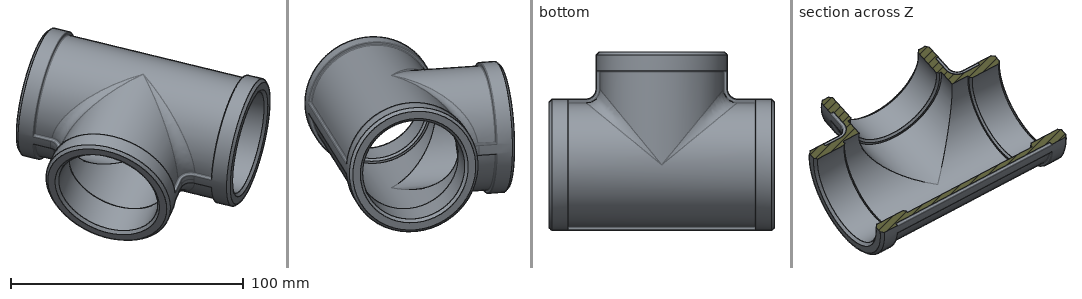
import cadquery as cq

run_length = 97.0
half_run = run_length / 2
branch_reach = 48.5

rim_radius = 28.2
rim_width = 8.2
rim_chamfer = 1.3
body_step = 1.5
body_radius = rim_radius - body_step
body_fillet = 5.8
rib_fillet = body_fillet - body_step
rib_width = 4.85
step_fillet = 0.3

neck_radius = 44.8 / 2
cavity_radius = 48.7 / 2
neck_depth = 16.0
neck_chamfer = 1.0
mouth_chamfer = 1.3

END_FACES = "<X or >X or <Y"


def straight_tee(radius, end_inset=0.0):
    """Two crossing cylinders of one radius, stopping short of the tee's ends."""
    run = cq.Workplane("YZ").circle(radius).extrude(half_run - end_inset, both=True)
    branch = cq.Workplane("XZ").circle(radius).extrude(branch_reach - end_inset)
    return run.union(branch)


def filleted_tee(radius, fillet):
    """Crossing cylinders with a fillet along the seam between run and branch."""
    return straight_tee(radius).edges("%ELLIPSE").fillet(fillet)


def raised_zones():
    """Space taken by the rims at the three ends and by the ribs around the mid plane."""
    size = 2 * run_length
    rim_centre = rim_width / 2
    rib_slab = cq.Workplane("XY").box(size, size, rib_width)
    run_rims = (
        cq.Workplane("XY")
        .pushPoints([(half_run - rim_centre, 0), (rim_centre - half_run, 0)])
        .box(rim_width, size, size)
    )
    branch_rim = (
        cq.Workplane("XY")
        .center(0, rim_centre - branch_reach)
        .box(2 * rim_radius, rim_width, size)
    )
    return rib_slab.union(run_rims).union(branch_rim)


def outside_shape():
    """Solid body with raised rims and ribs, softened steps and chamfered ends."""
    raised = filleted_tee(rim_radius, rib_fillet).intersect(raised_zones())
    body = filleted_tee(body_radius, body_fillet).union(raised)
    step_walls = body.faces("%PLANE").faces(f"not ({END_FACES})")
    body = step_walls.edges().fillet(step_fillet)
    return body.faces(END_FACES).edges().chamfer(rim_chamfer)


def bore_shape():
    """Space inside: a cavity joined to a narrower neck at each mouth, with bevelled neck edges."""
    bore = straight_tee(cavity_radius, neck_depth).union(straight_tee(neck_radius))
    neck_steps = bore.faces("%PLANE").faces(f"not ({END_FACES})")
    neck_edges = neck_steps.edges(cq.selectors.RadiusNthSelector(0))
    return neck_edges.chamfer(neck_chamfer)


result = outside_shape().cut(bore_shape())
mouth_edges = result.faces(END_FACES).edges(cq.selectors.RadiusNthSelector(0))
result = mouth_edges.chamfer(mouth_chamfer)